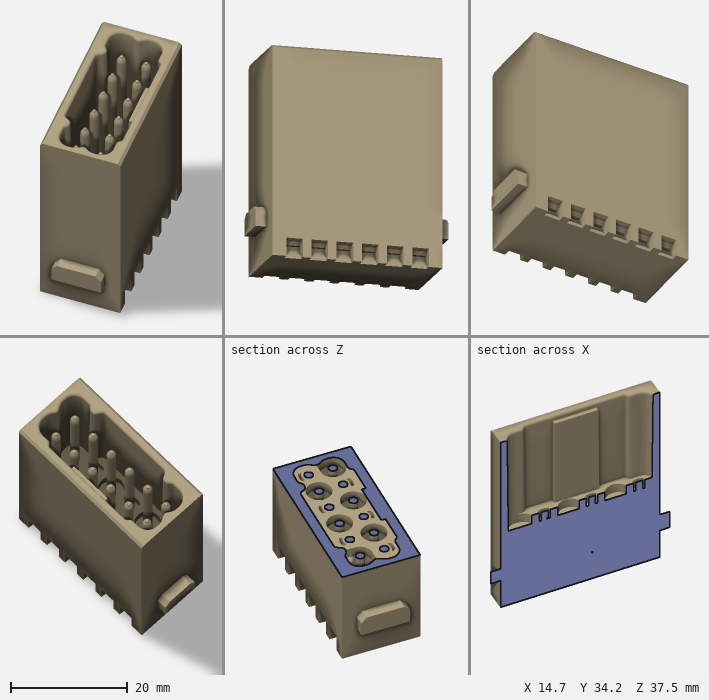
import cadquery as cq
import math

body_x = 14.65
body_y = 30.38
body_z = 37.5
top_chamfer = 0.5

tab_reach = 1.9
tab_bottom = 6.05
tab_height = 3.7
tab_chamfer = 1.0
front_tab_width = 9.05
back_tab_width = 6.98

pitch = 4.5
column_count = 2
row_count = 6
pin_top = 34.5
pin_radius = 1.65 / 2
pin_neck_radius = 1.6 / 2
pin_dome_mid_radius = 0.68
pin_dome_radius = 0.65 / 2
pin_tip_radius = 0.55 / 2
pin_dome_height = 0.9
pin_neck_height = 0.45
pin_tip_height = 0.22

floor_z = 18.75
rim_fillet = 0.5
draft_inset = 0.2
lobe_half_width = 4.85
middle_half_width = 5.6
lobe_radius = 2.18
lobe_center_y = 11.8
lobe_flat = 0.52
notch_slope = math.radians(30)
corner_radius = 0.75
step_outer_y = 9.6
step_inner_y = 10.05

bump_peak_x = -4.15
bump_peak_y = 8.92
bump_peak_length = 1.05
bump_root_y = 10.2
bump_foot_y = 7.6

rib_face_x = 4.8
rib_length = 8.32
rib_top = 36.5

sleeve_radius = 4.6 / 2
wall_reach = 3.0
recess_depth = 1.88
key_outer = 1.85
key_width = 0.6
key_half_length = 1.0

window_width = 2.95
window_height = 3.25
window_inner_height = 3.1
window_lip_depth = 1.3
window_lip_height = 0.45
window_lip_radius = 0.4
window_ramp_top = 2.0
window_throat_height = 2.48

corner_quadrants = {
    (0, 0): (
        (-wall_reach, sleeve_radius),
        (-wall_reach, -wall_reach),
        (sleeve_radius, -wall_reach),
    ),
    (column_count - 1, row_count - 1): (
        (-sleeve_radius, wall_reach),
        (wall_reach, wall_reach),
    ),
}

draft_angle = math.degrees(math.atan(draft_inset / (body_z - floor_z)))
column_x = [(i - (column_count - 1) / 2) * pitch for i in range(column_count)]
row_y = [(i - (row_count - 1) / 2) * pitch for i in range(row_count)]


def end_tab(width, side):
    """Chamfered tab on the end face at side * Y."""
    top = tab_bottom + tab_height
    tab = (
        cq.Workplane("XY")
        .box(width, tab_reach, tab_height)
        .edges("|Y and >Z")
        .chamfer(tab_chamfer)
    )
    return tab.translate((0, side * (body_y + tab_reach) / 2, top - tab_height / 2))


def pocket_outline(z):
    """Wire of the pocket wall at height z, symmetric about the XZ plane, with rounded corners."""
    lobe_center_x = lobe_half_width - lobe_radius
    lobe_top = lobe_center_y + lobe_radius
    diagonal = lobe_radius * math.sqrt(0.5)
    inner_x = lobe_center_x - lobe_flat
    swing_x = inner_x - lobe_radius * math.sin(notch_slope)
    swing_y = lobe_center_y + lobe_radius * math.cos(notch_slope)
    half_swing_x = inner_x - lobe_radius * math.sin(notch_slope / 2)
    half_swing_y = lobe_center_y + lobe_radius * math.cos(notch_slope / 2)
    notch_tip = (0, swing_y - swing_x * math.tan(notch_slope))
    step_outer = (middle_half_width, step_outer_y)
    step_inner = (lobe_half_width, step_inner_y)
    bump_points = [
        (-lobe_half_width, bump_root_y),
        (bump_peak_x, bump_peak_y + bump_peak_length / 2),
        (bump_peak_x, bump_peak_y - bump_peak_length / 2),
        (-middle_half_width, bump_foot_y),
    ]
    top = (
        cq.Workplane("XY")
        .moveTo(*step_outer)
        .lineTo(*step_inner)
        .lineTo(lobe_half_width, lobe_center_y)
        .threePointArc((lobe_center_x + diagonal, lobe_center_y + diagonal), (lobe_center_x, lobe_top))
        .lineTo(inner_x, lobe_top)
        .threePointArc((half_swing_x, half_swing_y), (swing_x, swing_y))
        .lineTo(*notch_tip)
        .lineTo(-swing_x, swing_y)
        .threePointArc((-half_swing_x, half_swing_y), (-inner_x, lobe_top))
        .lineTo(-lobe_center_x, lobe_top)
        .threePointArc(
            (-lobe_center_x - diagonal, lobe_center_y + diagonal), (-lobe_half_width, lobe_center_y)
        )
    )
    for point in bump_points:
        top = top.lineTo(*point)
    top_edges = top.wire().val().Edges()
    bottom_edges = [edge.mirror("XZ") for edge in top_edges]
    sides = [
        cq.Edge.makeLine(cq.Vector(x, y), cq.Vector(x, -y)) for x, y in (step_outer, bump_points[-1])
    ]
    face = cq.Face.makeFromWires(cq.Wire.combine(top_edges + bottom_edges + sides)[0])
    tolerance = 0.005
    corners = [step_outer, step_inner, notch_tip, *bump_points]
    sharp = [
        vertex
        for vertex in face.Vertices()
        if any(math.hypot(vertex.X - x, abs(vertex.Y) - y) < tolerance for x, y in corners)
    ]
    return face.fillet2D(corner_radius, sharp).outerWire().translate(cq.Vector(0, 0, z))


def rib():
    """Rib that widens toward the floor with the draft of the pocket."""
    depth = middle_half_width + rim_fillet - rib_face_x
    return (
        cq.Workplane("XY", origin=(rib_face_x + depth / 2, 0, rib_top))
        .rect(depth, rib_length)
        .extrude(floor_z - rib_top, taper=-draft_angle)
    )


def pin(x, y):
    """Contact pin with a short neck, a domed end and a small flat tip."""
    dome_top = pin_top - pin_tip_height
    neck_top = dome_top - pin_dome_height
    shoulder = neck_top - pin_neck_height
    profile = (
        cq.Workplane("XZ")
        .moveTo(0, floor_z - recess_depth)
        .lineTo(pin_radius, floor_z - recess_depth)
        .lineTo(pin_radius, shoulder)
        .lineTo(pin_neck_radius, neck_top)
        .threePointArc((pin_dome_mid_radius, neck_top + pin_dome_height / 2), (pin_dome_radius, dome_top))
        .lineTo(pin_tip_radius, pin_top)
        .lineTo(0, pin_top)
        .close()
    )
    return profile.revolve(360, (0, 0), (0, 1)).translate((x, y, 0))


def recess_plane(x, y):
    """Workplane on the bottom of the floor recesses, centred on a pin."""
    return cq.Workplane("XY", origin=(x, y, floor_z - recess_depth))


def sleeve_recess(x, y, quadrants=()):
    """Round recess around a pin, joined with rectangular quadrants of the given signed extents."""
    recess = recess_plane(x, y).circle(sleeve_radius).extrude(recess_depth)
    for reach_x, reach_y in quadrants:
        quadrant = recess_plane(x + reach_x / 2, y + reach_y / 2).rect(abs(reach_x), abs(reach_y))
        recess = recess.union(quadrant.extrude(recess_depth))
    return recess


def key_recess(x, y):
    """Curved slot beside a pin, on the side facing the nearer long wall."""
    side = math.copysign(1, x)
    sag = sleeve_radius - math.sqrt(sleeve_radius**2 - key_half_length**2)
    inner = key_outer - key_width
    return (
        recess_plane(x, y)
        .moveTo(side * (key_outer - sag), -key_half_length)
        .threePointArc((side * key_outer, 0), (side * (key_outer - sag), key_half_length))
        .lineTo(side * (inner - sag), key_half_length)
        .threePointArc((side * inner, 0), (side * (inner - sag), -key_half_length))
        .close()
        .extrude(recess_depth)
    )


def window(y):
    """Wire window in the -X side: open at the bottom edge, with a rounded lip and a 45-degree ramp."""
    wall = -body_x / 2
    lip = wall + window_lip_depth
    half_turn = math.radians(22.5)
    ramp_start_x = lip + window_lip_radius * (1 - math.cos(2 * half_turn))
    ramp_start_z = window_lip_height + window_lip_radius * math.sin(2 * half_turn)
    lip_mid_x = lip + window_lip_radius * (1 - math.cos(half_turn))
    lip_mid_z = window_lip_height + window_lip_radius * math.sin(half_turn)
    ramp_end = ramp_start_x + window_ramp_top - ramp_start_z
    throat = lip + window_inner_height - window_throat_height
    return (
        cq.Workplane("XZ", origin=(0, y + window_width / 2, 0))
        .moveTo(wall, 0)
        .lineTo(lip, 0)
        .lineTo(lip, window_lip_height)
        .threePointArc((lip_mid_x, lip_mid_z), (ramp_start_x, ramp_start_z))
        .lineTo(ramp_end, window_ramp_top)
        .lineTo(ramp_end, window_throat_height)
        .lineTo(throat, window_throat_height)
        .lineTo(lip, window_inner_height)
        .lineTo(wall, window_height)
        .close()
        .extrude(window_width)
    )


result = cq.Workplane("XY").box(body_x, body_y, body_z, centered=(True, True, False))
pocket = cq.Workplane(pocket_outline(body_z)).toPending().extrude(floor_z - body_z, taper=draft_angle)
result = result.cut(pocket)
rim = result.faces(">Z").val().innerWires()[0]
result = result.newObject(rim.Edges()).fillet(rim_fillet)
result = result.edges("|Y and >Z").chamfer(top_chamfer)

result = result.union(end_tab(front_tab_width, -1)).union(end_tab(back_tab_width, 1))

result = result.union(rib())

recesses = cq.Workplane("XY")
for column, x in enumerate(column_x):
    for row, y in enumerate(row_y):
        if (column + row) % 2:
            recesses = recesses.union(key_recess(x, y))
        else:
            recesses = recesses.union(sleeve_recess(x, y, corner_quadrants.get((column, row), ())))
floor_prism = cq.Workplane(pocket.faces("<Z").val().outerWire()).toPending().extrude(-recess_depth)
result = result.cut(recesses.intersect(floor_prism))

for x in column_x:
    for y in row_y:
        result = result.union(pin(x, y))

for y in row_y:
    opening = window(y)
    result = result.cut(opening).cut(opening.mirror("YZ"))

result = result.solids()